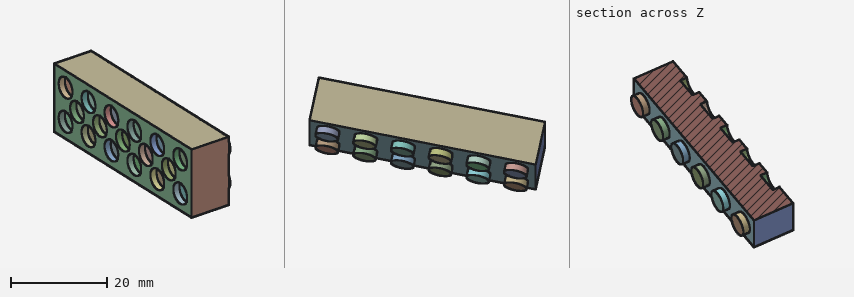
import cadquery as cq

pitch = 8.0
columns = 6
rows = 2

body_length = columns * pitch
body_depth = 9.6
body_height = rows * pitch

stud_diameter = 4.8
stud_height = 1.6
socket_depth = 1.6


def centred_grid(column_count, row_count):
    """(x, z) points spaced by the pitch and centred on the origin."""
    return [
        ((column - (column_count - 1) / 2) * pitch, (row - (row_count - 1) / 2) * pitch)
        for row in range(row_count)
        for column in range(column_count)
    ]


def cylinders_along_y(points, start_y, length):
    """Cylinders of stud diameter running from start_y towards +Y."""
    return (
        cq.Workplane("XZ", origin=(0, start_y, 0))
        .pushPoints(points)
        .circle(stud_diameter / 2)
        .extrude(-length)
    )


stud_points = centred_grid(columns, rows)
socket_points = stud_points + centred_grid(columns - 1, rows - 1)

front_y = -body_depth / 2
back_y = body_depth / 2

body = cq.Workplane("XY").box(body_length, body_depth, body_height)
studs = cylinders_along_y(stud_points, back_y, stud_height)
sockets = cylinders_along_y(socket_points, front_y, socket_depth)

result = body.union(studs).cut(sockets)